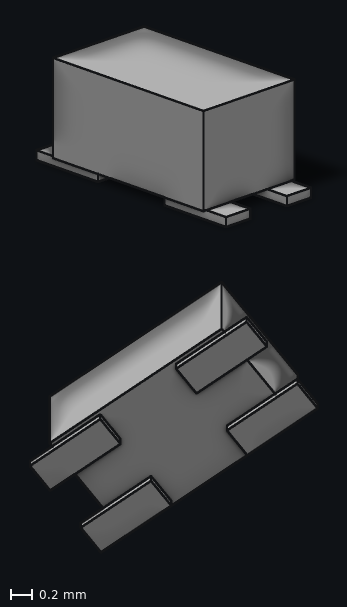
import cadquery as cq

overall_length = 2.52
overall_height = 1.1

housing_length = 2.0
housing_width = 1.2

lead_length = 0.82
lead_width = 0.32
lead_thickness = 0.1
lead_pitch = 0.8

housing_height = overall_height - lead_thickness
lead_center_x = (overall_length - lead_length) / 2
lead_center_y = lead_pitch / 2


def make_housing():
    """Plain block resting on the top faces of the leads."""
    return (
        cq.Workplane("XY")
        .box(housing_length, housing_width, housing_height, centered=(True, True, False))
        .translate((0, 0, lead_thickness))
    )


def make_lead(side_x, side_y):
    """Flat strip at one corner, reaching out past the end of the housing."""
    return (
        cq.Workplane("XY")
        .box(lead_length, lead_width, lead_thickness, centered=(True, True, False))
        .translate((side_x * lead_center_x, side_y * lead_center_y, 0))
    )


housing = make_housing()
leads = [make_lead(side_x, side_y) for side_x in (-1, 1) for side_y in (-1, 1)]

result = cq.Compound.makeCompound([housing.val(), *[lead.val() for lead in leads]])